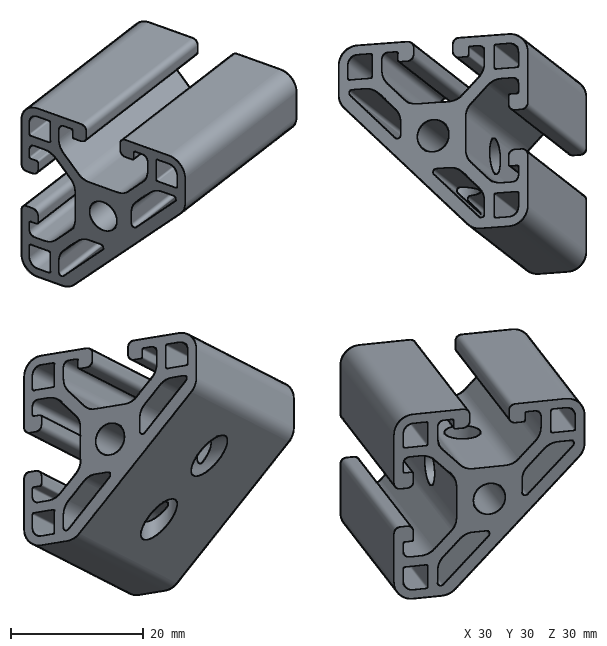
import cadquery as cq
import math

side = 30.0
corner_radius = 3.0
wall = 1.47
diagonal_offset = 8.75

mouth_half_width = 3.1
lip_depth = 3.05
lip_half_width = 5.6
slot_half_width = 8.13
floor_height = 5.15
slope_offset = 1.4
lip_radius = 1.0
slot_corner_radius = 1.0
floor_bend_radius = 2.8
side_bend_radius = 3.0
small_radius = 0.3

corner_web = 1.55
pocket_diagonal_offset = 5.9
pocket_tip_radius = 0.5

core_hole_diameter = 5.0
cross_hole_diameter = 5.5

half = side / 2
chamber_outer = half - wall
chamber_inner = slot_half_width + corner_web


def swap_sides(corners):
    """Mirror (x, z, radius) corners in the symmetry plane z = -x, keeping the turning direction."""
    return [(-z, -x, radius) for x, z, radius in reversed(corners)]


def rounded_prism(corners):
    """Extrude along Y a closed polygon of (x, z, radius) corners, each rounded with its own radius."""
    arcs = []
    for i, (x, z, radius) in enumerate(corners):
        here = cq.Vector(x, z)
        before = cq.Vector(*corners[i - 1][:2])
        after = cq.Vector(*corners[(i + 1) % len(corners)][:2])
        to_before = (before - here).normalized()
        to_after = (after - here).normalized()
        half_angle = to_before.getAngle(to_after) / 2
        setback = radius / math.tan(half_angle)
        middle_distance = radius / math.sin(half_angle) - radius
        start = here + to_before * setback
        middle = here + (to_before + to_after).normalized() * middle_distance
        end = here + to_after * setback
        arcs.append((start, middle, end))

    last_end = arcs[-1][2]
    outline = cq.Workplane("XZ").moveTo(last_end.x, last_end.y)
    for start, middle, end in arcs:
        outline = outline.lineTo(start.x, start.y)
        outline = outline.threePointArc((middle.x, middle.y), (end.x, end.y))
    return outline.close().extrude(half, both=True)


def outer_body():
    """Profile with its cut-off corner and the two open T-slots."""
    slot_right = [
        (floor_height - slope_offset, floor_height, floor_bend_radius),
        (slot_half_width, slot_half_width + slope_offset, side_bend_radius),
        (slot_half_width, chamber_outer, slot_corner_radius),
        (lip_half_width, chamber_outer, small_radius),
        (lip_half_width, half - lip_depth, small_radius),
        (mouth_half_width, half - lip_depth, lip_radius),
        (mouth_half_width, half, lip_radius),
    ]
    slot_left = [(-x, z, radius) for x, z, radius in reversed(slot_right)]
    top_slot = slot_left + slot_right
    corners = [
        (-half, half, corner_radius),
        *top_slot,
        (half, half, corner_radius),
        (half, half - diagonal_offset, corner_radius),
        (diagonal_offset - half, -half, corner_radius),
        (-half, -half, corner_radius),
        *swap_sides(top_slot),
    ]
    return rounded_prism(corners)


def corner_chamber(x_sign, z_sign):
    """Square chamber in one corner, with a larger radius that follows the outer corner."""
    inner = chamber_inner
    outer = chamber_outer
    return rounded_prism([
        (x_sign * inner, z_sign * inner, small_radius),
        (x_sign * outer, z_sign * inner, small_radius),
        (x_sign * outer, z_sign * outer, corner_radius - wall),
        (x_sign * inner, z_sign * outer, small_radius),
    ])


def diagonal_pockets():
    """Two pockets behind the cut-off corner; their inner faces sit like those of the slots."""
    right_pocket = [
        (floor_height, floor_height - pocket_diagonal_offset, pocket_tip_radius),
        (floor_height, floor_height - slope_offset, floor_bend_radius),
        (slot_half_width + slope_offset, slot_half_width, side_bend_radius),
        (slot_half_width + pocket_diagonal_offset, slot_half_width, pocket_tip_radius),
    ]
    return [rounded_prism(right_pocket), rounded_prism(swap_sides(right_pocket))]


def centre_hole(plane, diameter):
    """Through hole at the part centre, square to the given plane."""
    return cq.Workplane(plane).circle(diameter / 2).extrude(half, both=True)


result = outer_body()
for x_sign, z_sign in [(-1, 1), (1, 1), (-1, -1)]:
    result = result.cut(corner_chamber(x_sign, z_sign))
for pocket in diagonal_pockets():
    result = result.cut(pocket)

result = result.cut(centre_hole("XZ", core_hole_diameter))
for plane in ["XY", "YZ"]:
    result = result.cut(centre_hole(plane, cross_hole_diameter))